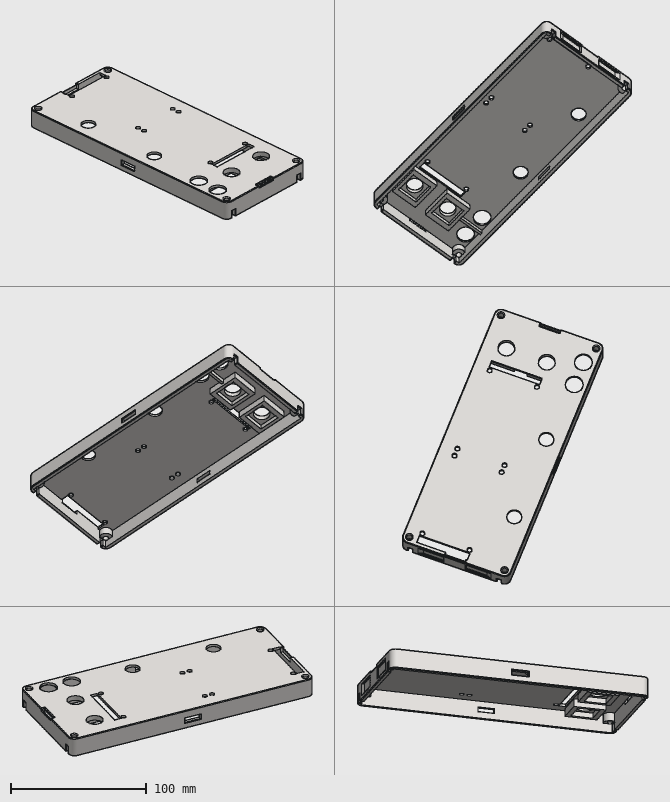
import cadquery as cq

length = 200.0
width = 85.0
height = 15.2
corner_radius = 5.0
wall = 3.0
plate = 2.0
edge_break = 0.5
flare_angle = -45.0

screw_inset = corner_radius
screw_hole = 4.0
screw_head = 5.5
post_diameter = 2 * screw_inset

slot_y = (-8.8, 31.0)
window_slots_x = ((-97.0, -91.0), (53.2, 58.5))
display_hole = 3.5
display_hole_x = (-88.8, -22.2, -16.2, 50.8)
display_hole_y = (-7.5, 29.5)

button_hole = 12.5
button_centres = ((71.8, 24.5), (71.8, -7.5))
jack_hole = 13.0
jack_centres = ((62.5, -32.5), (81.5, -32.5))
knob_hole = 11.0
knob_centres = ((-52.5, -29.0), (14.0, -29.0))

boss_length = 24.8
boss_width = 22.0
boss_bottom = 7.2
boss_pocket = 16.8
boss_neck = 4.0

rib_thickness = 2.0
rib_bottom = 9.5

notch_width = 15.5
notch_inset = wall
notch_bottom = 11.0
lip_top = 13.8
lip_thickness = 1.0
end_slot_y = 35.0
end_slot_width = 3.2
end_slot_height = 6.2

recess_inner_y = 8.5
recess_ramp_y = 25.0
recess_outer_y = 28.5
recess_z = (3.0, 12.0)
recess_depth = 1.2

port_width = 12.5
port_height = 3.5
port_z = 6.8

half_x = length / 2
half_y = width / 2
plate_bottom = height - plate


def block(x_range, y_range, z_range):
    """Box that spans the given ranges."""
    size = [high - low for low, high in (x_range, y_range, z_range)]
    return cq.Workplane("XY").box(*size, centered=False).translate((x_range[0], y_range[0], z_range[0]))


def cylinders(diameter, centres, bottom=0.0):
    """Upright cylinders that end at the top face."""
    level = cq.Workplane("XY").workplane(offset=bottom)
    return level.pushPoints(centres).circle(diameter / 2).extrude(height - bottom)


def blocks_at(centres, x_size, y_size, bottom, top):
    """Equal blocks centred on the given points."""
    level = cq.Workplane("XY").workplane(offset=bottom)
    return level.pushPoints(centres).rect(x_size, y_size).extrude(top - bottom)


def cut_both_ends(body, cutter):
    """Cut at the +X end and, mirrored, at the -X end."""
    return body.cut(cutter).cut(cutter.mirror("YZ"))


def make_shell():
    """Solid outer form, and the same form hollowed from below."""
    outer = cq.Workplane("XY").box(length, width, height, centered=(True, True, False))
    outer = outer.edges("|Z").fillet(corner_radius)
    outer = outer.faces("<Z or >Z").edges().chamfer(edge_break)
    inner_x = half_x - wall
    inner_y = half_y - wall
    cavity = block((-inner_x, inner_x), (-inner_y, inner_y), (0, plate_bottom))
    return outer, outer.cut(cavity)


def add_corner_posts(body, outer):
    x = half_x - screw_inset
    y = half_y - screw_inset
    centres = [(-x, -y), (-x, y), (x, -y), (x, y)]
    post_bottom = end_slot_height + edge_break
    body = body.union(cylinders(post_diameter, centres, post_bottom).intersect(outer))
    body = body.cut(cylinders(screw_hole, centres))
    sink_depth = (screw_head - screw_hole) / 2
    for centre in centres:
        sink = cq.Workplane("XY").workplane(offset=height - sink_depth).center(*centre)
        body = body.cut(sink.circle(screw_hole / 2).extrude(sink_depth, taper=flare_angle))
    return body


def add_button_bosses(body):
    body = body.union(blocks_at(button_centres, boss_length, boss_width, boss_bottom, plate_bottom))
    return body.cut(blocks_at(button_centres, boss_pocket, boss_pocket, boss_bottom, height - boss_neck))


def add_jack_rib(body):
    boss_x, boss_y = button_centres[1]
    rib_x = (boss_x - rib_thickness / 2, boss_x + rib_thickness / 2)
    rib_y = (wall - half_y, boss_y - boss_width / 2)
    return body.union(block(rib_x, rib_y, (rib_bottom, plate_bottom)))


def cut_plate_openings(body):
    for slot_x in window_slots_x:
        body = body.cut(block(slot_x, slot_y, (plate_bottom, height)))
    display_centres = [(x, y) for x in display_hole_x for y in display_hole_y]
    body = body.cut(cylinders(display_hole, display_centres))
    body = body.cut(cylinders(button_hole, button_centres))
    body = body.cut(cylinders(jack_hole, jack_centres))
    return body.cut(cylinders(knob_hole, knob_centres))


def cut_clip_notches(body):
    y_range = (-notch_width / 2, notch_width / 2)
    inner_x = half_x - notch_inset
    body = cut_both_ends(body, block((inner_x, half_x), y_range, (lip_top, height)))
    body = cut_both_ends(body, block((inner_x, half_x - lip_thickness), y_range, (notch_bottom, height)))
    top_flare = (
        cq.Workplane("XY", origin=(half_x, 0, height - edge_break))
        .rect(2 * notch_inset, notch_width).extrude(edge_break, taper=flare_angle)
    )
    lip_edge = [
        (half_x, lip_top),
        (half_x - edge_break, lip_top),
        (half_x, lip_top - edge_break),
    ]
    lip_break = (
        cq.Workplane("XZ")
        .polyline(lip_edge).close()
        .extrude(notch_width / 2, both=True)
    )
    return cut_both_ends(cut_both_ends(body, top_flare), lip_break)


def cut_end_slots(body):
    for y in (-end_slot_y, end_slot_y):
        slot_range = (y - end_slot_width / 2, y + end_slot_width / 2)
        body = cut_both_ends(body, block((half_x - wall, half_x), slot_range, (0, end_slot_height)))
        face_flare = (
            cq.Workplane("YZ", origin=(half_x - edge_break, y, 0))
            .rect(end_slot_width, 2 * end_slot_height).extrude(edge_break, taper=flare_angle)
        )
        foot_flare = (
            cq.Workplane("XY", origin=(half_x, y, edge_break))
            .rect(2 * wall, end_slot_width).extrude(-edge_break, taper=flare_angle)
        )
        body = cut_both_ends(cut_both_ends(body, face_flare), foot_flare)
    return body


def cut_grip_recesses(body):
    floor_x = recess_depth - half_x
    break_x = edge_break - half_x
    plan = [
        (-half_x, recess_inner_y),
        (-half_x, recess_outer_y),
        (floor_x, recess_ramp_y),
        (floor_x, recess_inner_y + edge_break),
        (break_x, recess_inner_y + edge_break),
    ]
    low, high = recess_z
    section = [
        (-half_x, low),
        (break_x, low + edge_break),
        (floor_x, low + edge_break),
        (floor_x, high - edge_break),
        (break_x, high - edge_break),
        (-half_x, high),
    ]
    recess = cq.Workplane("XY").polyline(plan).close().extrude(height)
    recess = recess.intersect(cq.Workplane("XZ").polyline(section).close().extrude(-half_y))
    return body.cut(recess).cut(recess.mirror("XZ"))


def cut_ports(body):
    body = body.cut(cq.Workplane("XY").box(port_width, width, port_height).translate((0, 0, port_z)))
    flare = (
        cq.Workplane("XZ", origin=(0, edge_break - half_y, port_z))
        .rect(port_width, port_height).extrude(edge_break, taper=flare_angle)
    )
    return body.cut(flare).cut(flare.mirror("XZ"))


envelope, shell = make_shell()
part = add_corner_posts(shell, envelope)
part = add_button_bosses(part)
part = add_jack_rib(part)
part = cut_plate_openings(part)
part = cut_clip_notches(part)
part = cut_end_slots(part)
part = cut_grip_recesses(part)
result = cut_ports(part)